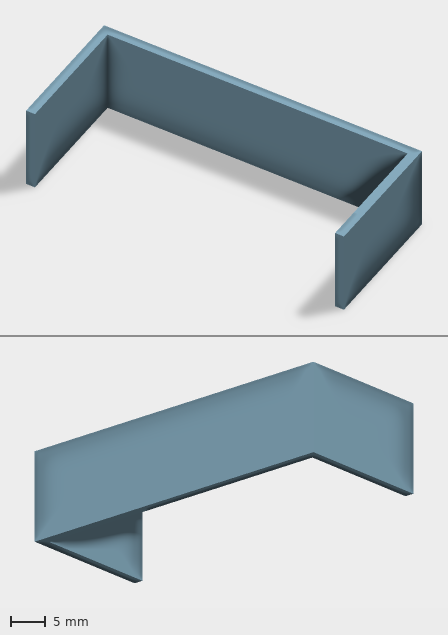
import cadquery as cq

length = 53.4
depth = 21.8
height = 14.0
wall = 1.5

block = cq.Workplane("XY").box(length, depth, height)

opening = (
    cq.Workplane("XY")
    .box(length - 2 * wall, depth - wall, height)
    .translate((0, -wall / 2, 0))
)

result = block.cut(opening)